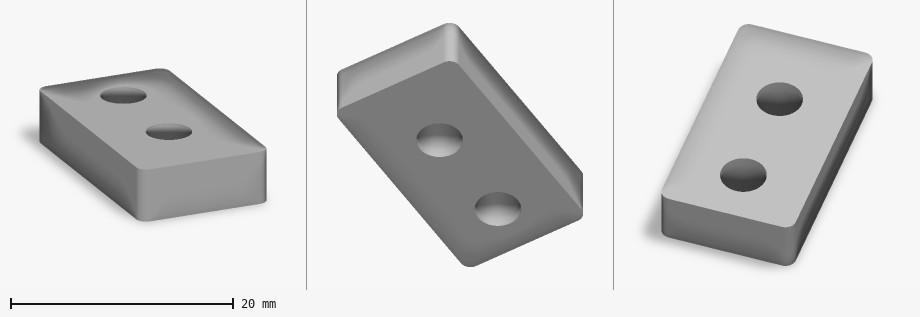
import cadquery as cq

length = 23.0
width = 12.7
height = 5.0
corner_radius = 1.0

hole_diameter = 4.19
hole_spacing = 10.0
first_hole_from_end = 5.0
first_hole_x = first_hole_from_end - length / 2
hole_centers = [(first_hole_x + i * hole_spacing, 0) for i in range(2)]

block = cq.Workplane("XY").box(length, width, height).edges("|Z").fillet(corner_radius)

result = block.faces(">Z").workplane().pushPoints(hole_centers).hole(hole_diameter)